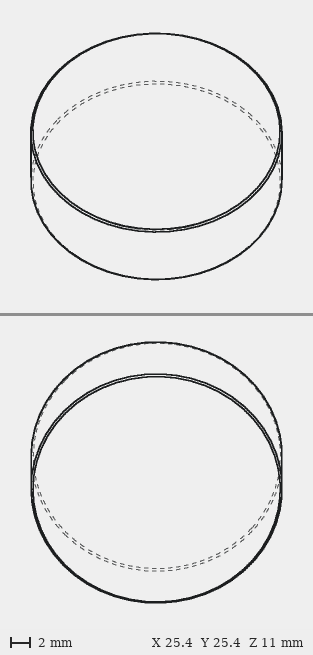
import cadquery as cq
import math

diameter = 25.4
overall_height = 10.97
centre_thickness = 4.0
convex_sag = 2.7
edge_bevel = 0.2

outer_radius = diameter / 2
clear_radius = outer_radius - edge_bevel
concave_sag = overall_height - centre_thickness

bottom_z = -overall_height / 2
top_z = bottom_z + overall_height
convex_rim_z = bottom_z + convex_sag
concave_vertex_z = top_z - concave_sag


def sphere_radius(sag):
    """Radius of the spherical face that has this sag across the clear aperture."""
    return (clear_radius**2 + sag**2) / (2 * sag)


def point_on_face(vertex_z, sag, distance):
    """Profile point on a spherical face at the given distance from the axis."""
    radius = sphere_radius(sag)
    rise = radius - math.sqrt(radius**2 - distance**2)
    return (distance, vertex_z + rise)


def lens_profile():
    """Half section of the lens in the XZ plane, from the axis to the edge."""
    mid_distance = clear_radius / 2
    return (
        cq.Workplane("XZ")
        .moveTo(0, bottom_z)
        .threePointArc(
            point_on_face(bottom_z, convex_sag, mid_distance),
            (clear_radius, convex_rim_z),
        )
        .lineTo(outer_radius, convex_rim_z + edge_bevel)
        .lineTo(outer_radius, top_z - edge_bevel)
        .lineTo(clear_radius, top_z)
        .threePointArc(
            point_on_face(concave_vertex_z, concave_sag, mid_distance),
            (0, concave_vertex_z),
        )
        .close()
    )


result = lens_profile().revolve(360, (0, 0, 0), (0, 1, 0))